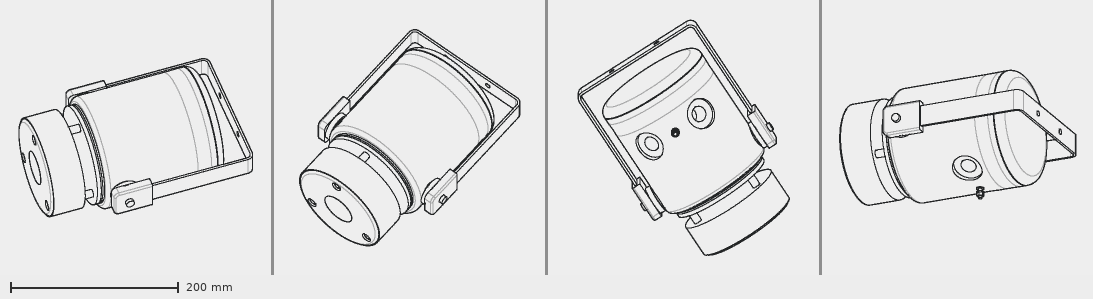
import math

import cadquery as cq


FLANGE_R = 61.0
COVER_RIM_R = 59.9
COVER_FACE_R = 56.5
COVER_RIM_Y = 2.5
COVER_BACK_Y = 42.0
BADGE_R = 20.5
BADGE_DEPTH = 0.2

POST_COUNT = 3
POST_FIRST_ANGLE = 93.3
POST_CIRCLE_R = 48.0
POST_R = 4.7
SCREW_HOLE_R = 6.0
SCREW_HOLE_DEPTH = 3.7
SCREW_HEAD_Y = 2.0

FLANGE_FRONT_Y = 57.5
FLANGE_BACK_Y = 62.4
SEAL_BACK_Y = 64.3
SEAL_R = 60.9
SHOULDER_Y = 66.5

CASE_R = 69.3
CASE_FRONT_FILLET = 5.0
TAPER_FRONT_Y = 181.9
TAPER_BACK_Y = 199.0
CAP_R = 69.5
GROOVE_R = 69.3
GROOVE_FRONT_Y = 206.5
GROOVE_BACK_Y = 207.2
CAP_FILLET = 10.0
CAP_BACK_Y = GROOVE_BACK_Y + CAP_FILLET

ENTRY_Y = 158.0
ENTRY_TILT = 57.5
ENTRY_FACE_R = 62.5
SPOTFACE_R = 18.1
ENTRY_HOLE_R = 9.2
ENTRY_HOLE_DEPTH = 24.8

STUD_R = 2.2
STUD_LENGTH = 13.0
STUD_ROOT = 2.5
WASHER_R = 4.7
WASHER_T = 1.5
UPPER_WASHER_DROP = 0.7
LOWER_WASHER_DROP = 5.0
NUT_SIDES = 6
NUT_R = 4.2
NUT_HEIGHT = 4.0
NUT_CHAMFER = 0.7

PIVOT_Y = 88.5
PIN_R = 5.0
PIN_SPAN = 182.5
PIN_END_X = PIN_SPAN / 2
TRUNNION_NECK_R = 14.5
TRUNNION_DISC_R = 17.6
TRUNNION_ROOT_X = 62.0
TRUNNION_DISC_X = 69.8

BLOCK_INNER_X = 76.3
BLOCK_OUTER_X = 87.2
BLOCK_FRONT_Y = 69.5
BLOCK_BACK_Y = 118.0
BLOCK_HEIGHT = 37.3
BLOCK_CORNER_R = 6.2
BLOCK_EDGE_FILLET = 2.2
STRAP_OUTER_X = 83.2
STRAP_T = 3.0
STRAP_HEIGHT = 25.5
STRAP_BEND_R = 8.7
STRAP_BACK_Y = 248.5
WEB_HOLE_X = 31.8
WEB_HOLE_R = 3.2

SIDES = (-1, 1)


def rod(radius, y_start, y_end, x=0, z=0):
    """Cylinder along +Y."""
    start = cq.Vector(x, y_start, z)
    return cq.Workplane(cq.Solid.makeCylinder(radius, y_end - y_start, start, cq.Vector(0, 1, 0)))


def side_rod(radius, side, x_start, x_end):
    """Cylinder on the pivot axis, running outwards on one side."""
    start = cq.Vector(side * x_start, PIVOT_Y, 0)
    return cq.Workplane(cq.Solid.makeCylinder(radius, x_end - x_start, start, cq.Vector(side, 0, 0)))


def post_places():
    """X and Z of each post."""
    for i in range(POST_COUNT):
        angle = math.radians(POST_FIRST_ANGLE + i * 360 / POST_COUNT)
        yield POST_CIRCLE_R * math.cos(angle), POST_CIRCLE_R * math.sin(angle)


def make_cover():
    """Front cover with its posts, whose front ends stand as screw heads in the recesses."""
    arc_r = ((COVER_RIM_R - COVER_FACE_R) ** 2 + COVER_RIM_Y**2) / (2 * COVER_RIM_Y)
    half = math.asin((COVER_RIM_R - COVER_FACE_R) / arc_r) / 2
    arc_mid = (COVER_FACE_R + arc_r * math.sin(half), arc_r * (1 - math.cos(half)))
    cover = (
        cq.Workplane("XY")
        .moveTo(0, 0)
        .lineTo(COVER_FACE_R, 0)
        .threePointArc(arc_mid, (COVER_RIM_R, COVER_RIM_Y))
        .lineTo(FLANGE_R, COVER_RIM_Y)
        .lineTo(FLANGE_R, COVER_BACK_Y)
        .lineTo(0, COVER_BACK_Y)
        .close()
        .revolve(360, (0, 0, 0), (0, 1, 0))
    )
    cover = cover.cut(rod(BADGE_R, 0, BADGE_DEPTH))
    for x, z in post_places():
        cover = cover.cut(rod(SCREW_HOLE_R, 0, SCREW_HOLE_DEPTH, x, z))
        cover = cover.union(rod(POST_R, SCREW_HEAD_Y, FLANGE_FRONT_Y, x, z))
    return cover


def make_case():
    """Turned case with its flange, sealing neck, slight taper and grooved, rounded cap."""
    shoulder_r = CASE_R - CASE_FRONT_FILLET
    bend = 1 - math.sqrt(0.5)
    return (
        cq.Workplane("XY")
        .moveTo(0, FLANGE_FRONT_Y)
        .lineTo(FLANGE_R, FLANGE_FRONT_Y)
        .lineTo(FLANGE_R, FLANGE_BACK_Y)
        .lineTo(SEAL_R, FLANGE_BACK_Y)
        .lineTo(SEAL_R, SEAL_BACK_Y)
        .lineTo(FLANGE_R, SEAL_BACK_Y)
        .lineTo(FLANGE_R, SHOULDER_Y)
        .lineTo(shoulder_r, SHOULDER_Y)
        .threePointArc(
            (CASE_R - CASE_FRONT_FILLET * bend, SHOULDER_Y + CASE_FRONT_FILLET * bend),
            (CASE_R, SHOULDER_Y + CASE_FRONT_FILLET),
        )
        .lineTo(CASE_R, TAPER_FRONT_Y)
        .lineTo(CAP_R, TAPER_BACK_Y)
        .lineTo(CAP_R, GROOVE_FRONT_Y)
        .lineTo(GROOVE_R, GROOVE_FRONT_Y)
        .lineTo(GROOVE_R, GROOVE_BACK_Y)
        .lineTo(CAP_R, GROOVE_BACK_Y)
        .threePointArc(
            (CAP_R - CAP_FILLET * bend, CAP_BACK_Y - CAP_FILLET * bend),
            (CAP_R - CAP_FILLET, CAP_BACK_Y),
        )
        .lineTo(0, CAP_BACK_Y)
        .close()
        .revolve(360, (0, 0, 0), (0, 1, 0))
    )


def entry_cutter(side):
    """Spotface and hole that enter the lower flank of the case."""
    tilt = math.radians(ENTRY_TILT)
    outward = cq.Vector(side * math.cos(tilt), 0, -math.sin(tilt))
    face = cq.Vector(0, ENTRY_Y, 0) + outward * ENTRY_FACE_R
    spotface = cq.Solid.makeCylinder(SPOTFACE_R, CASE_R, face, outward)
    hole = cq.Solid.makeCylinder(ENTRY_HOLE_R, ENTRY_HOLE_DEPTH, face, outward * -1)
    return cq.Workplane(spotface).union(cq.Workplane(hole))


def make_stud():
    """Earth stud under the case with two washers and a nut."""

    def level(z):
        return cq.Workplane("XY", origin=(0, ENTRY_Y, z))

    lower_washer_z = -CASE_R - LOWER_WASHER_DROP
    nut_z = lower_washer_z - WASHER_T
    stud = level(-CASE_R + STUD_ROOT).circle(STUD_R).extrude(-STUD_ROOT - STUD_LENGTH)
    stud = stud.union(level(-CASE_R - UPPER_WASHER_DROP).circle(WASHER_R).extrude(WASHER_T))
    stud = stud.union(level(lower_washer_z).circle(WASHER_R).extrude(-WASHER_T))
    nut = level(nut_z).polygon(NUT_SIDES, 2 * NUT_R).extrude(-NUT_HEIGHT)
    chamfered_rod = level(nut_z).circle(NUT_R).extrude(-NUT_HEIGHT).faces("<Z").chamfer(NUT_CHAMFER)
    return stud.union(nut.intersect(chamfered_rod))


def make_sounder():
    """Case, cover, stud and trunnion pins as one solid."""
    sounder = make_case().union(make_cover()).union(make_stud())
    for side in SIDES:
        sounder = sounder.union(side_rod(TRUNNION_NECK_R, side, TRUNNION_ROOT_X, TRUNNION_DISC_X))
        sounder = sounder.union(side_rod(TRUNNION_DISC_R, side, TRUNNION_DISC_X, BLOCK_INNER_X))
        sounder = sounder.union(side_rod(PIN_R, side, BLOCK_INNER_X, PIN_END_X))
        sounder = sounder.cut(entry_cutter(side))
    return sounder


def make_strap():
    """U-shaped strap behind the blocks, with two mounting holes in its web."""
    length = STRAP_BACK_Y - BLOCK_BACK_Y
    inner_x = STRAP_OUTER_X - STRAP_T
    mid_y = BLOCK_BACK_Y + length / 2
    outer = cq.Workplane("XY").box(2 * STRAP_OUTER_X, length, STRAP_HEIGHT)
    outer = outer.translate((0, mid_y, 0)).edges("|Z and >Y").fillet(STRAP_BEND_R)
    inner = cq.Workplane("XY").box(2 * inner_x, length, STRAP_HEIGHT)
    inner = inner.translate((0, mid_y - STRAP_T, 0)).edges("|Z and >Y").fillet(STRAP_BEND_R - STRAP_T)
    strap = outer.cut(inner)
    for side in SIDES:
        strap = strap.cut(rod(WEB_HOLE_R, STRAP_BACK_Y - STRAP_T, STRAP_BACK_Y, side * WEB_HOLE_X))
    return strap


def make_block(side):
    """End block of the bracket with rounded front corners and a rounded outer rim, square at the back."""
    thickness = BLOCK_OUTER_X - BLOCK_INNER_X
    length = BLOCK_BACK_Y - BLOCK_FRONT_Y
    block = cq.Workplane("XY").box(thickness, length, BLOCK_HEIGHT)
    block = block.edges("|X and <Y").fillet(BLOCK_CORNER_R)
    outer_face = ">X" if side > 0 else "<X"
    block = block.faces(outer_face).edges("not >Y").fillet(BLOCK_EDGE_FILLET)
    mid_x = side * (BLOCK_INNER_X + BLOCK_OUTER_X) / 2
    block = block.translate((mid_x, (BLOCK_FRONT_Y + BLOCK_BACK_Y) / 2, 0))
    return block.cut(side_rod(PIN_R, side, BLOCK_INNER_X, BLOCK_OUTER_X))


def make_bracket():
    """Strap and its two end blocks, which turn on the trunnion pins."""
    bracket = make_strap()
    for side in SIDES:
        bracket = bracket.union(make_block(side))
    return bracket


sounder = make_sounder()
bracket = make_bracket()

result = cq.Compound.makeCompound([sounder.solids().val(), bracket.solids().val()])